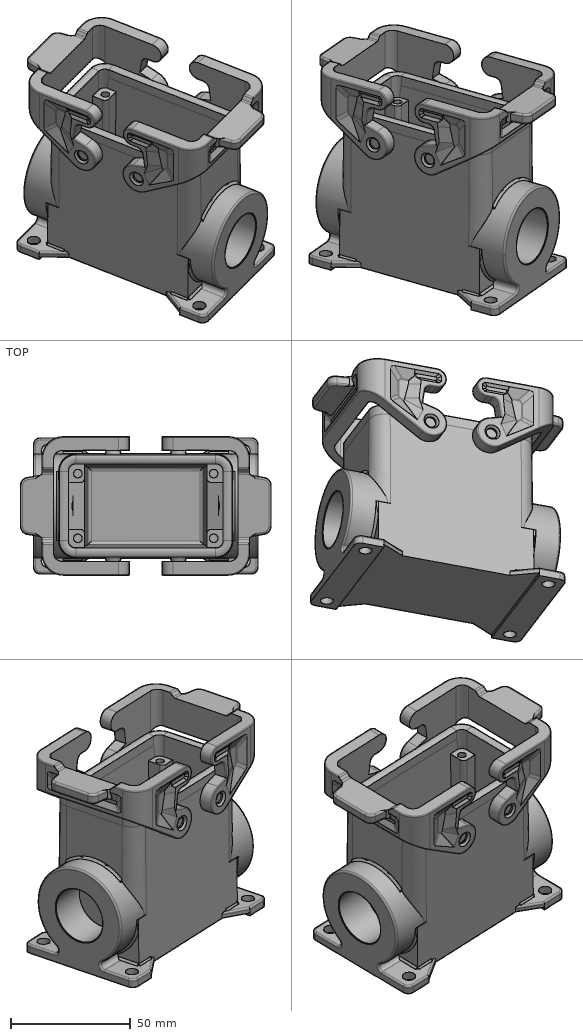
import cadquery as cq
import math

HEIGHT = 90.2
RIM_Z = 73.4
DRAFT_Z = 68.5
LOWER_TOP_Z = 25.6
BASE_Z = 1.4

RIM_X = 36.2
RIM_Y = 21.4
WALL_FLARE = 0.4
DRAFT_SLOPE = WALL_FLARE / (DRAFT_Z - LOWER_TOP_Z)
BODY_Y = RIM_Y + WALL_FLARE
WALL = 3.8
CROWN_RISE = 0.5
SHOULDER_Z = RIM_Z - CROWN_RISE
CORNER_R = 6.9
LOWER_X = 34.8

CAVITY_X = RIM_X - WALL
CAVITY_Y = RIM_Y - WALL
CAVITY_CORNER_R = CORNER_R - WALL
POCKET_X = 25.6
CAVITY_DRAFT = 1.5
SHELF_OUTER_Z = 38.6
SHELF_INNER_Z = 35.0
FLOOR_Z = 5.2
FLOOR_FILLET = 1.6

POST_TOP_Z = 62.8
POST_Y = 9.8
POST_CORNER_R = 2.0
SCREW_X = 28.5
SCREW_Y = 13.5
SCREW_R = 1.8
SCREW_DEPTH = 12.6

HUB_X = 47.0
HUB_Z = 25.7
HUB_R = 21.7
HUB_ROOT_X = 27.3
HUB_ROOT = 1.0
BORE_R = 12.1
BORE_END_X = 30.6
BORE_BEVEL = 0.3
NECK_R = 2.0

FOOT_Y = 28.6
FOOT_TOP_Z = 3.9
FOOT_CORNER_R = 2.9
END_ROUND = 0.8
FOOT_BEVEL = 0.9
GUSSET_X = 23.6
FOOT_HOLE_X = 41.0
FOOT_HOLE_Y = 23.0
FOOT_HOLE_R = 2.7

LEVER_X = 43.5
LEVER_Y = 29.03
LEVER_END_WALL = 4.8
LEVER_ARM_WALL = 5.8
LEVER_CORNER_R = 9.0
LEVER_INNER_R = 3.8
LEVER_SIDE_Z = 76.5
LEVER_EDGE = 0.4
PIVOT_X = 13.6
PIVOT_Z = 64.5
PIVOT_R = 6.8
HOOK_TIP_X = 6.9
HOOK_R = 4.4
HOOK_Z = HEIGHT - HOOK_R
NECK_TOP_X = 16.3
NECK_BOTTOM_X = 17.5
NECK_BOTTOM_Z = 72.7
HOOK_ROOT_R = 2.9

ARM_POCKET_DEPTH = 2.2
HOOK_POCKET_DEPTH = 0.8
END_POCKET_DEPTH = 1.6
ARM_POCKET_CORNER_R = 4.2
END_MOUTH_WIDTH = 38.4
END_MOUTH_LOW = 78.3
END_MOUTH_HIGH = 86.7
END_MOUTH_CORNER_R = 1.6
END_FLOOR_WIDTH = 31.3
END_FLOOR_LOW = 81.0
END_FLOOR_HIGH = 82.5
END_FLOOR_CORNER_R = 0.5
POCKET_FLOOR_R = 0.8
TAB_X = 52.5
TAB_TOP_Z = 88.3
TAB_BOTTOM_Z = 83.7
TAB_CORNER_R = 3.5
TAB_ROUND = 0.9
NOTCH_BOTTOM_Y = 13.8
NOTCH_TOP_Y = 15.6
NOTCH_ROUND = 1.3
PIN_ROOT_R = 3.4
PIN_TIP_R = 2.9
RIVET_RIM_R = 3.4
RIVET_R = 2.4
RIVET_BEVEL = 0.9
RIVET_DEPTH = 1.7


def both_ends(shape):
    """Return the shape together with its mirror image at the +X end."""
    return shape.union(shape.mirror("YZ"))


def both_sides(shape):
    """Return the shape together with its mirror image on the +Y side."""
    return shape.union(shape.mirror("XZ"))


def block(x_min, x_max, y_half, z_min, z_max):
    """Box centred on Y."""
    return (
        cq.Workplane("XY")
        .box(x_max - x_min, 2 * y_half, z_max - z_min, centered=False)
        .translate((x_min, -y_half, z_min))
    )


def x_revolve(profile):
    """Solid of revolution about the hub axis from (x, radius) points."""
    return (
        cq.Workplane("XY")
        .polyline(profile)
        .close()
        .revolve(360, (0, 0, 0), (1, 0, 0))
        .translate((0, 0, HUB_Z))
    )


def make_housing():
    rim = (
        cq.Workplane("XY", origin=(0, 0, DRAFT_Z))
        .rect(2 * RIM_X, 2 * RIM_Y)
        .extrude(SHOULDER_Z - DRAFT_Z)
        .edges("|Z")
        .fillet(CORNER_R)
    )
    draft = math.degrees(math.atan(DRAFT_SLOPE))
    drafted_height = DRAFT_Z - LOWER_TOP_Z
    walls = rim.faces("<Z").wires().toPending().extrude(-drafted_height, taper=-draft, combine=False)

    base_y = BODY_Y + DRAFT_SLOPE * (LOWER_TOP_Z - BASE_Z)
    lower = (
        cq.Workplane("YZ")
        .polyline(
            [
                (-BODY_Y, LOWER_TOP_Z),
                (BODY_Y, LOWER_TOP_Z),
                (base_y, BASE_Z),
                (-base_y, BASE_Z),
            ]
        )
        .close()
        .extrude(LOWER_X, both=True)
    )
    return rim.union(walls).union(lower).union(make_rim_crown())


def make_rim_crown():
    """Arched strip running around the top of the rim."""
    mid_x = RIM_X - WALL / 2
    mid_y = RIM_Y - WALL / 2
    core = (
        cq.Workplane("XY", origin=(0, 0, SHOULDER_Z - 1))
        .rect(2 * mid_x, 2 * mid_y)
        .extrude(1)
        .edges("|Z")
        .fillet(CORNER_R - WALL / 2)
    )
    centreline = core.faces(">Z").wires()
    return (
        cq.Workplane("YZ", origin=(0, -mid_y, SHOULDER_Z))
        .moveTo(-WALL / 2, 0)
        .threePointArc((0, CROWN_RISE), (WALL / 2, 0))
        .close()
        .sweep(centreline)
    )


def make_cavity():
    half = [
        (CAVITY_X, RIM_Z),
        (CAVITY_X, SHELF_OUTER_Z),
        (POCKET_X, SHELF_INNER_Z),
        (POCKET_X - CAVITY_DRAFT, FLOOR_Z),
    ]
    long_profile = half + [(-x, z) for x, z in reversed(half)]
    cross_profile = [
        (-CAVITY_Y, RIM_Z),
        (CAVITY_Y, RIM_Z),
        (CAVITY_Y, DRAFT_Z),
        (CAVITY_Y - CAVITY_DRAFT, FLOOR_Z),
        (CAVITY_DRAFT - CAVITY_Y, FLOOR_Z),
        (-CAVITY_Y, DRAFT_Z),
    ]
    along = cq.Workplane("XZ").polyline(long_profile).close().extrude(BODY_Y, both=True)
    across = cq.Workplane("YZ").polyline(cross_profile).close().extrude(RIM_X, both=True)
    corners = block(-CAVITY_X, CAVITY_X, CAVITY_Y, FLOOR_Z, RIM_Z).edges("|Z").fillet(CAVITY_CORNER_R)
    cavity = along.intersect(across).faces("<Z").edges().fillet(FLOOR_FILLET).intersect(corners)

    post_size_x = CAVITY_X - POCKET_X
    post = (
        cq.Workplane("XY")
        .box(2 * post_size_x, 2 * (CAVITY_Y - POST_Y), POST_TOP_Z - FLOOR_Z)
        .edges("|Z")
        .fillet(POST_CORNER_R)
        .translate((-CAVITY_X, CAVITY_Y, (POST_TOP_Z + FLOOR_Z) / 2))
    )
    return cavity.cut(both_ends(both_sides(post)))


def make_hub():
    arc_z = FOOT_TOP_Z + NECK_R
    drop = HUB_Z - arc_z
    arc_y = math.sqrt((HUB_R + NECK_R) ** 2 - drop**2)
    touch_z = HUB_Z - drop * HUB_R / (HUB_R + NECK_R)
    neck_arcs = (
        cq.Workplane("YZ", origin=(-HUB_X, 0, 0))
        .pushPoints([(-arc_y, arc_z), (arc_y, arc_z)])
        .circle(NECK_R)
        .extrude(HUB_X - LOWER_X)
    )
    neck = block(-HUB_X, -LOWER_X, arc_y, -END_ROUND, touch_z).cut(neck_arcs)
    base = block(-HUB_X, -LOWER_X, FOOT_Y - FOOT_CORNER_R, -END_ROUND, FOOT_TOP_Z)
    barrel = (
        cq.Workplane("YZ", origin=(-HUB_X, 0, HUB_Z))
        .circle(HUB_R)
        .extrude(HUB_X - HUB_ROOT_X)
        .union(neck)
        .union(base)
        .faces("<X")
        .edges()
        .fillet(END_ROUND)
        .intersect(block(-HUB_X, 0, FOOT_Y, 0, RIM_Z))
    )

    def root_bevel(wall_x, y_half, z_min, z_max):
        ring = x_revolve(
            [
                (-wall_x, 0),
                (-wall_x, HUB_R + HUB_ROOT),
                (-wall_x - HUB_ROOT, HUB_R),
                (-wall_x - HUB_ROOT, 0),
            ]
        )
        return ring.intersect(block(-HUB_X, 0, y_half, z_min, z_max))

    wall_x = RIM_X + WALL_FLARE / 2
    upper_bevel = root_bevel(wall_x, RIM_Y - CORNER_R, LOWER_TOP_Z, RIM_Z)
    lower_bevel = root_bevel(LOWER_X, BODY_Y, FOOT_TOP_Z, LOWER_TOP_Z)
    return barrel.union(upper_bevel).union(lower_bevel)


def make_bore():
    return x_revolve(
        [
            (-HUB_X, 0),
            (-HUB_X, BORE_R + BORE_BEVEL),
            (-HUB_X + BORE_BEVEL, BORE_R),
            (-BORE_END_X, BORE_R),
            (-BORE_END_X, 0),
        ]
    )


def make_feet():
    """The two feet at the -X end, joined into one plate."""
    outline = [
        (-HUB_X, -FOOT_Y),
        (-LOWER_X, -FOOT_Y),
        (-GUSSET_X, -BODY_Y),
        (-GUSSET_X, BODY_Y),
        (-LOWER_X, FOOT_Y),
        (-HUB_X, FOOT_Y),
    ]
    plate = (
        cq.Workplane("XY")
        .polyline(outline)
        .close()
        .extrude(FOOT_TOP_Z)
        .edges("|Z and <X")
        .fillet(FOOT_CORNER_R)
        .faces(">Z")
        .edges("not >X")
        .fillet(END_ROUND)
    )
    relief = block(-LOWER_X, 0, FOOT_Y, 0, BASE_Z)
    side_bevel = (
        cq.Workplane("YZ", origin=(-LOWER_X, 0, 0))
        .polyline(
            [
                (-BODY_Y, FOOT_TOP_Z),
                (-BODY_Y - FOOT_BEVEL, FOOT_TOP_Z),
                (-BODY_Y, FOOT_TOP_Z + FOOT_BEVEL),
            ]
        )
        .close()
        .extrude(LOWER_X - GUSSET_X - 3 * FOOT_BEVEL)
    )
    end_bevel = (
        cq.Workplane("XZ", origin=(0, BODY_Y, 0))
        .polyline(
            [
                (-LOWER_X, FOOT_TOP_Z),
                (-LOWER_X - FOOT_BEVEL, FOOT_TOP_Z),
                (-LOWER_X, FOOT_TOP_Z + FOOT_BEVEL),
            ]
        )
        .close()
        .extrude(2 * BODY_Y)
    )
    return plate.cut(relief).union(both_sides(side_bevel)).union(end_bevel)


def make_foot_holes():
    spots = [(sx * FOOT_HOLE_X, sy * FOOT_HOLE_Y) for sx in (-1, 1) for sy in (-1, 1)]
    return cq.Workplane("XY").pushPoints(spots).circle(FOOT_HOLE_R).extrude(FOOT_TOP_Z)


def eye_tangent(point, turn):
    """Touching point on the pivot eye of a tangent line through the point."""
    dx = point[0] + PIVOT_X
    dz = point[1] - PIVOT_Z
    angle = math.atan2(dz, dx) + turn * math.acos(PIVOT_R / math.hypot(dx, dz))
    return -PIVOT_X + PIVOT_R * math.cos(angle), PIVOT_Z + PIVOT_R * math.sin(angle)


def lever_side_profile():
    """Side outline of a lever: slanted plate, pivot eye and hook."""
    neck_bottom = (-NECK_BOTTOM_X, NECK_BOTTOM_Z)
    side_bottom = (-LEVER_X, LEVER_SIDE_Z)
    hook_centre_x = -HOOK_TIP_X - HOOK_R
    hook_bottom_z = HEIGHT - 2 * HOOK_R
    outline = (
        cq.Workplane("XZ")
        .moveTo(-LEVER_X, HEIGHT)
        .lineTo(hook_centre_x, HEIGHT)
        .threePointArc((-HOOK_TIP_X, HOOK_Z), (hook_centre_x, hook_bottom_z))
        .lineTo(-NECK_TOP_X, hook_bottom_z)
        .lineTo(*neck_bottom)
        .lineTo(*eye_tangent(neck_bottom, -1))
        .lineTo(-PIVOT_X, PIVOT_Z)
        .lineTo(*eye_tangent(side_bottom, 1))
        .lineTo(*side_bottom)
        .close()
        .extrude(LEVER_Y, both=True)
    )
    root = cq.selectors.BoxSelector(
        (-NECK_TOP_X - 0.1, -LEVER_Y - 1, hook_bottom_z - 0.1),
        (-NECK_TOP_X + 0.1, LEVER_Y + 1, hook_bottom_z + 0.1),
    )
    eye = (
        cq.Workplane("XZ")
        .center(-PIVOT_X, PIVOT_Z)
        .circle(PIVOT_R)
        .extrude(LEVER_Y, both=True)
    )
    return outline.edges(root).fillet(HOOK_ROOT_R).union(eye)


def ruled_pocket(plane, depth, mouth, floor):
    """Pocket with slanted walls from the mouth outline down to the floor outline."""
    return (
        cq.Workplane(plane)
        .polyline(mouth)
        .close()
        .workplane(offset=-depth)
        .polyline(floor)
        .close()
        .loft(ruled=True)
    )


def make_arm_pocket():
    face = cq.Plane(origin=(0, -LEVER_Y, 0), xDir=(1, 0, 0), normal=(0, -1, 0))
    main = ruled_pocket(
        face,
        ARM_POCKET_DEPTH,
        [(-32.0, 87.8), (-18.5, 87.8), (-18.5, 81.4), (-19.2, 74.3), (-17.4, 69.1), (-20, 63.8), (-32.0, 71.3)],
        [(-27.6, 83.3), (-23.0, 83.3), (-23.2, 81.4), (-24.8, 74.5), (-25.0, 73.7), (-25.5, 73.1), (-27.6, 74.7)],
    )
    hook = ruled_pocket(
        face,
        HOOK_POCKET_DEPTH,
        [(-21, 87.8), (-10.3, 87.8), (-9.1, 86.6), (-9.1, 84.5), (-10.3, 83.4), (-21, 83.4)],
        [(-21, 86.4), (-11.5, 86.4), (-10.9, 85.9), (-10.9, 85.3), (-11.5, 84.7), (-21, 84.7)],
    )
    outer_corners = cq.selectors.BoxSelector(
        (-LEVER_X, -LEVER_Y + 0.1, 0),
        (-26.2, -LEVER_Y + ARM_POCKET_DEPTH - 0.1, HEIGHT),
    )
    main = main.edges(outer_corners).fillet(ARM_POCKET_CORNER_R)
    main = main.faces(">Y").edges("|X or |Z").fillet(POCKET_FLOOR_R)
    return main.union(hook)


def make_end_pocket():
    def rounded(width, low, high, corner_r):
        outline = cq.Sketch().rect(width, high - low).vertices().fillet(corner_r)
        return outline.moved(cq.Location(cq.Vector(0, (low + high) / 2, 0)))

    face = cq.Plane(origin=(-LEVER_X, 0, 0), xDir=(0, -1, 0), normal=(-1, 0, 0))
    mouth = rounded(END_MOUTH_WIDTH, END_MOUTH_LOW, END_MOUTH_HIGH, END_MOUTH_CORNER_R)
    floor = rounded(END_FLOOR_WIDTH, END_FLOOR_LOW, END_FLOOR_HIGH, END_FLOOR_CORNER_R)
    floor = floor.moved(cq.Location(cq.Vector(0, 0, -END_POCKET_DEPTH)))
    return cq.Workplane(face).placeSketch(mouth, floor).loft()


def make_tab():
    inner_x = LEVER_X - LEVER_END_WALL
    side = [
        (-TAB_X, -11.4),
        (-LEVER_X - 0.8, -12.8),
        (-LEVER_X + 0.5, -NOTCH_BOTTOM_Y),
        (-inner_x, -NOTCH_BOTTOM_Y),
    ]
    return (
        cq.Workplane("XY", origin=(0, 0, TAB_BOTTOM_Z))
        .polyline(side + [(x, -y) for x, y in reversed(side)])
        .close()
        .extrude(TAB_TOP_Z - TAB_BOTTOM_Z)
        .edges("|Z and <X")
        .fillet(TAB_CORNER_R)
        .faces("<X")
        .edges("|Y")
        .fillet(TAB_ROUND)
    )


def make_notch():
    """Cutter lowering the top of the end wall to the tab, with rounded ramps."""
    clear_y = NOTCH_TOP_Y + NOTCH_ROUND
    half = [
        (NOTCH_BOTTOM_Y, TAB_TOP_Z),
        (NOTCH_TOP_Y, HEIGHT),
        (clear_y, HEIGHT),
        (clear_y, HEIGHT + 1),
    ]
    ramp_corners = cq.selectors.BoxSelector(
        (-TAB_X, -NOTCH_TOP_Y - 0.1, TAB_TOP_Z - 0.1),
        (TAB_X, NOTCH_TOP_Y + 0.1, HEIGHT + 0.1),
    )
    return (
        cq.Workplane("YZ", origin=(-LEVER_X, 0, 0))
        .polyline(half + [(-y, z) for y, z in reversed(half)])
        .close()
        .extrude(LEVER_END_WALL)
        .edges("|X")
        .edges(ramp_corners)
        .fillet(NOTCH_ROUND)
    )


def make_lever():
    outer = block(-LEVER_X, LEVER_X, LEVER_Y, 0, HEIGHT).edges("|Z").fillet(LEVER_CORNER_R)
    inner_x = LEVER_X - LEVER_END_WALL
    inner_y = LEVER_Y - LEVER_ARM_WALL
    inner = block(-inner_x, inner_x, inner_y, 0, HEIGHT).edges("|Z").fillet(LEVER_INNER_R)
    lever = outer.cut(inner).intersect(lever_side_profile())
    lever = lever.faces("<Y or >Y").edges().fillet(LEVER_EDGE)
    lever = lever.cut(make_notch())
    lever = lever.cut(both_sides(make_arm_pocket())).cut(make_end_pocket())
    return lever.union(make_tab())


def y_revolve(profile):
    """Solid of revolution about the -Y pivot axis from (radius, y) points."""
    return (
        cq.Workplane("XY")
        .polyline(profile)
        .close()
        .revolve(360, (0, 0, 0), (0, 1, 0))
        .translate((-PIVOT_X, 0, PIVOT_Z))
    )


def make_pin():
    inner_y = LEVER_Y - LEVER_ARM_WALL
    return y_revolve([(0, -RIM_Y + 1), (PIN_ROOT_R, -RIM_Y + 1), (PIN_ROOT_R, -BODY_Y), (PIN_TIP_R, -inner_y), (0, -inner_y)])


def make_rivet_dimple():
    return y_revolve(
        [
            (0, -LEVER_Y),
            (RIVET_RIM_R, -LEVER_Y),
            (RIVET_R, -LEVER_Y + RIVET_BEVEL),
            (RIVET_R, -LEVER_Y + RIVET_DEPTH),
            (0, -LEVER_Y + RIVET_DEPTH),
        ]
    )


def make_screw_holes():
    spots = [(sx * SCREW_X, sy * SCREW_Y) for sx in (-1, 1) for sy in (-1, 1)]
    return (
        cq.Workplane("XY", origin=(0, 0, POST_TOP_Z - SCREW_DEPTH))
        .pushPoints(spots)
        .circle(SCREW_R)
        .extrude(SCREW_DEPTH)
    )


housing = make_housing().union(both_ends(make_hub())).union(both_ends(make_feet()))
housing = housing.union(both_ends(both_sides(make_pin())))
housing = housing.cut(make_cavity())
housing = housing.cut(make_screw_holes()).cut(make_foot_holes()).cut(both_ends(make_bore()))
lever = make_lever().cut(both_sides(make_rivet_dimple()))
result = housing.union(both_ends(lever))